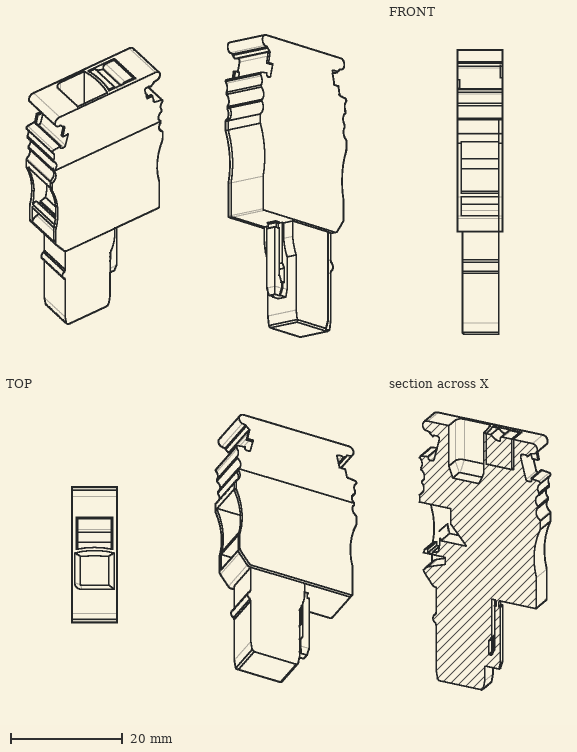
import cadquery as cq
import math


width = 8.1
depth = 24.3
total_height = 50.95
housing_height = 32.6
side_x = width / 2
end_reach = depth / 2
plug_bottom_z = housing_height - total_height

cover_inner_x = 3.4
cover_top_z = 20.4

flange_reach = 11.55
flange_nose_radius = 1.05
flange_lip_reach = 10.95
flange_lip_z = 30.6
neck_step_reach = 10.2
neck_step_z = 30.45
neck_step_run = 0.1
neck_step_drop = 0.2
neck_top_reach = 9.4
neck_top_z = 29.65
neck_bottom_reach = 10.2
neck_bottom_z = 25.75
neck_foot_run = 0.2
ledge_z = 25.6
ledge_fall = 0.2
ledge_tip_reach = 11.8
ledge_tip_z = 25.0
ledge_nose = (12.05, 25.22)
ridge_reach = 11.88
lower_ridge_reach = 11.7
grip_scallops = [
    ((11.95, 24.75), (11.66, 23.9), (ridge_reach, 23.05)),
    ((ridge_reach, 22.65), (11.2, 21.4), (lower_ridge_reach, cover_top_z)),
    ((lower_ridge_reach, 20.1), (11.33, 19.0), (12.0, 17.8)),
]
flat_top_z = 17.6
flat_bottom_z = 15.9
foot_reach = 11.35
foot_top_z = 6.3
waist_reach = 10.9
waist_z = 9.9

foot_corner_radius = 0.25
foot_bevel_drop = 2.65
foot_bevel_run = 2.0
foot_bevel_radius = 0.8

slot_bottom_z = 24.95
slot_top_z = 29.95
slot_floor_reach = 8.7
slot_floor_z = 27.45
slot_slope = 0.25
slot_overrun = 0.1
slot_end_radius = 0.4
slot_wall = 0.45
slot_wall_gap_bottom_z = 27.3
slot_wall_gap_top_z = 27.6

pocket_left_x = -3.33
pocket_overrun = 1.0
pocket_outer_reach = end_reach + pocket_overrun
upper_pocket_top_z = 16.16
upper_pocket_back_reach = 5.9
upper_pocket_slope_z = 13.15
inner_wall_top_z = 11.3
inner_wall_reach = 8.2
inner_wall_middle_reach = 8.1
inner_wall_middle_z = 9.2
inner_wall_foot_reach = 8.4
inner_wall_foot_z = 7.2
pit_back_reach = 2.8
pit_front_reach = 7.8
pit_floor_z = 9.5
groove_back_reach = 9.5
groove_back_z = 6.85
groove_floor_z = 6.55
bar_back_reach = 10.4
bar_back_z = 7.3
bar_crown_reach = 10.9
bar_crown_z = 7.2
bar_front_reach = 11.22
bar_top_z = 6.9
bar_bottom_z = foot_top_z
lower_pocket_back_reach = 7.0
lower_pocket_floor_z = 5.0
lip_crest_reach = 10.3
lip_crest_z = 3.85
lip_z = 2.94

funnel_half_width = 3.56
funnel_front_y = -6.2
funnel_back_y = 0.3
funnel_back_bulge = 0.45
funnel_corner_radius = 1.2
funnel_straight_depth = 8.0
funnel_taper_depth = 2.2
funnel_floor_half_width = 2.56
funnel_floor_front_y = -5.43
funnel_floor_back_y = -0.25
funnel_floor_bulge = 0.02
funnel_floor_corner_radius = 0.1

button_half_width = 3.0
button_back_y = 6.41
button_clearance = 0.28
button_height = 6.0
button_front_y = 0.95
button_front_bulge = 0.35
button_ridge_y = 4.6
button_ridge_radius = 0.6
button_dip = 0.95
button_hollow_y = 3.0
button_hollow_depth = 0.65
button_dip_end_y = 2.25

plug_left_x = -3.2
plug_right_x = cover_inner_x
plug_front_y = -8.85
plug_back_y = 1.02
plug_root_back_y = 2.0
plug_root_z = -2.8
plug_root_middle_y = 1.7
plug_root_middle_z = -4.4
plug_root_end_z = -6.1
plug_taper_z = -16.25
plug_taper = 0.35
plug_tip_chamfer = 0.35
plug_step = 0.1
plug_step_y = -8.07
plug_step_tip_y = -7.3
bump_z = -6.2
bump_half_height = 0.8
bump_root_half_height = 1.2
bump_root_height = 0.15
bump_height = 0.65

latch_center_x = (plug_left_x + plug_right_x) / 2
latch_half_width = 0.95
latch_back_y = 4.15
latch_front_y = 2.87
latch_top_z = -1.1
latch_taper_z = -12.1
latch_bottom_z = -13.5
latch_taper = 0.3
latch_neck_y = 3.48
latch_neck_half = 0.3
latch_neck_flare = 0.5
latch_flare_z = -0.25
web_half_width = 1.2
web_inner_y = 0.0
web_back_y = 2.4
web_step_y = 1.8
web_step_top_z = -7.5
web_step_bottom_z = -8.35
web_foot_z = -11.0
web_foot_y = 2.27
slit_taper_z = -9.85


def plate(outline, x_start, x_end):
    """Extrude a closed outline, drawn in Y and Z, from x_start to x_end."""
    return outline.extrude(x_end - x_start).translate((x_start, 0, 0))


def polygon_plate(points, x_start, x_end):
    return plate(cq.Workplane("YZ").polyline(points).close(), x_start, x_end)


def box(x_start, x_end, y_start, y_end, z_start, z_end):
    size = (x_end - x_start, y_end - y_start, z_end - z_start)
    return cq.Workplane("XY").box(*size, centered=False).translate((x_start, y_start, z_start))


def half_profile():
    """The +Y half of the housing outline, from the top down to the underside."""
    outline = (
        cq.Workplane("YZ")
        .moveTo(0, housing_height)
        .lineTo(flange_reach - flange_nose_radius, housing_height)
        .threePointArc((flange_reach, housing_height - flange_nose_radius), (flange_lip_reach, flange_lip_z))
        .lineTo(neck_step_reach, neck_step_z)
        .lineTo(neck_step_reach - neck_step_run, neck_step_z - neck_step_drop)
        .lineTo(neck_top_reach, neck_top_z)
        .lineTo(neck_bottom_reach, neck_bottom_z)
        .lineTo(neck_bottom_reach + neck_foot_run, ledge_z)
        .lineTo(ledge_tip_reach, ledge_z - ledge_fall)
        .threePointArc(ledge_nose, (end_reach, ledge_tip_z))
    )
    for top, middle, bottom in grip_scallops:
        outline = outline.lineTo(*top).threePointArc(middle, bottom)
    return (
        outline.lineTo(end_reach, flat_top_z)
        .lineTo(end_reach, flat_bottom_z)
        .threePointArc((waist_reach, waist_z), (foot_reach, foot_top_z))
        .lineTo(foot_reach, 0)
        .lineTo(0, 0)
        .close()
    )


def outer_block():
    half = plate(half_profile(), -side_x, side_x)
    block = half.union(half.mirror("XZ")).clean()
    block = block.edges(cq.selectors.NearestToPointSelector((0, foot_reach, 0))).fillet(foot_corner_radius)
    bevel = polygon_plate(
        [(-foot_reach, 0), (-foot_reach, foot_bevel_drop), (-foot_reach + foot_bevel_run, 0)], -side_x, side_x
    )
    block = block.cut(bevel)
    for y, z in [(-foot_reach, foot_bevel_drop), (-foot_reach + foot_bevel_run, 0)]:
        block = block.edges(cq.selectors.NearestToPointSelector((0, y, z))).fillet(foot_bevel_radius)
    return block


def marker_slot():
    """Leaning slot in the -Y neck, open through one wall above and the other below."""
    def floor_y(z):
        return -(slot_floor_reach + (slot_floor_z - z) * slot_slope)

    def outer_y(z):
        neck_slope = (neck_bottom_reach - neck_top_reach) / (neck_top_z - neck_bottom_z)
        return -(neck_top_reach + (neck_top_z - z) * neck_slope + slot_overrun)

    outline = cq.Workplane("YZ").polyline(
        [
            (floor_y(slot_bottom_z), slot_bottom_z),
            (floor_y(slot_top_z), slot_top_z),
            (outer_y(slot_top_z), slot_top_z),
            (outer_y(slot_bottom_z), slot_bottom_z),
        ]
    ).close()
    slot = plate(outline, -side_x, side_x).edges("|X").fillet(slot_end_radius)
    inner_x = side_x - slot_wall
    left_wall = box(-side_x, -inner_x, -end_reach, 0, slot_bottom_z, slot_wall_gap_bottom_z)
    right_wall = box(inner_x, side_x, -end_reach, 0, slot_wall_gap_top_z, slot_top_z)
    return slot.cut(left_wall).cut(right_wall)


def upper_pocket():
    outline = (
        cq.Workplane("YZ")
        .moveTo(-pocket_outer_reach, upper_pocket_top_z)
        .lineTo(-upper_pocket_back_reach, upper_pocket_top_z)
        .lineTo(-upper_pocket_back_reach, upper_pocket_slope_z)
        .lineTo(-pit_back_reach, pit_floor_z)
        .lineTo(-pit_front_reach, pit_floor_z)
        .lineTo(-inner_wall_reach, inner_wall_top_z)
        .threePointArc(
            (-inner_wall_middle_reach, inner_wall_middle_z),
            (-inner_wall_foot_reach, inner_wall_foot_z),
        )
        .lineTo(-groove_back_reach, groove_back_z)
        .lineTo(-groove_back_reach, groove_floor_z)
        .lineTo(-bar_back_reach, groove_floor_z)
        .lineTo(-bar_back_reach, bar_back_z)
        .threePointArc((-bar_crown_reach, bar_crown_z), (-bar_front_reach, bar_top_z))
        .lineTo(-pocket_outer_reach, bar_top_z)
        .close()
    )
    return plate(outline, pocket_left_x, cover_inner_x)


def lower_pocket():
    outline = (
        cq.Workplane("YZ")
        .moveTo(-pocket_outer_reach, bar_bottom_z)
        .lineTo(-lower_pocket_back_reach, bar_bottom_z)
        .lineTo(-lower_pocket_back_reach, lower_pocket_floor_z)
        .lineTo(-lip_crest_reach, lip_crest_z)
        .tangentArcPoint((-foot_reach, lip_z), relative=False)
        .lineTo(-pocket_outer_reach, lip_z)
        .close()
    )
    return plate(outline, pocket_left_x, cover_inner_x)


def funnel_section(outline, half_width, back_y, bulge, front_y, corner_radius):
    """Add a rectangle with a bowed back edge and one rounded corner to a sketch chain."""
    return (
        outline.moveTo(-half_width, back_y)
        .threePointArc((0, back_y + bulge), (half_width, back_y))
        .lineTo(half_width, front_y)
        .lineTo(corner_radius - half_width, front_y)
        .radiusArc((-half_width, front_y + corner_radius), corner_radius)
        .close()
    )


def funnel_mouth(base):
    return funnel_section(
        base,
        funnel_half_width,
        funnel_back_y,
        funnel_back_bulge,
        funnel_front_y,
        funnel_corner_radius,
    )


def wire_funnel():
    """Straight-walled hole in the top that tapers at the bottom to a nearly square floor."""
    taper_top_z = housing_height - funnel_straight_depth
    shaft_base = cq.Workplane("XY", origin=(0, 0, taper_top_z))
    shaft = funnel_mouth(shaft_base).extrude(funnel_straight_depth)
    floor = funnel_section(
        cq.Workplane("XY", origin=(0, 0, taper_top_z - funnel_taper_depth)),
        funnel_floor_half_width,
        funnel_floor_back_y,
        funnel_floor_bulge,
        funnel_floor_front_y,
        funnel_floor_corner_radius,
    )
    taper = funnel_mouth(floor.workplane(offset=funnel_taper_depth)).loft(ruled=True)
    return shaft.union(taper)


def button_well():
    """Well for the button; its front edge bows round the funnel."""
    half_width = button_half_width + button_clearance
    back_y = button_back_y + button_clearance
    return (
        cq.Workplane("XY", origin=(0, 0, housing_height - button_height))
        .moveTo(-half_width, back_y)
        .lineTo(half_width, back_y)
        .lineTo(half_width, button_front_y)
        .threePointArc((0, button_front_y + button_front_bulge), (-half_width, button_front_y))
        .close()
        .extrude(button_height)
    )


def latch_envelope(half_width):
    """Space of the latch across X, narrowing at the foot."""
    tip_half_width = half_width - latch_taper
    return (
        cq.Workplane("XZ", origin=(latch_center_x, latch_back_y, 0))
        .polyline(
            [
                (-half_width, 0),
                (half_width, 0),
                (half_width, latch_taper_z),
                (tip_half_width, latch_bottom_z),
                (-tip_half_width, latch_bottom_z),
                (-half_width, latch_taper_z),
            ]
        )
        .close()
        .extrude(latch_back_y)
    )


def plug_block():
    outline = (
        cq.Workplane("YZ")
        .moveTo(plug_front_y, 0)
        .lineTo(plug_front_y, plug_taper_z)
        .lineTo(plug_front_y + plug_taper, plug_bottom_z)
        .lineTo(plug_back_y - plug_taper, plug_bottom_z)
        .lineTo(plug_back_y, plug_taper_z)
        .lineTo(plug_back_y, plug_root_end_z)
        .threePointArc((plug_root_middle_y, plug_root_middle_z), (plug_root_back_y, plug_root_z))
        .lineTo(plug_root_back_y, 0)
        .close()
    )
    plug = plate(outline, plug_left_x, plug_right_x)
    plug = plug.faces("<Z").edges("<X or <Y or >Y").chamfer(plug_tip_chamfer)
    step = polygon_plate(
        [
            (plug_front_y, 0),
            (plug_step_y, 0),
            (plug_step_y, plug_taper_z),
            (plug_step_tip_y, plug_bottom_z),
            (plug_front_y, plug_bottom_z),
        ],
        plug_left_x,
        plug_left_x + plug_step,
    )
    return plug.cut(step)


def snap_bump():
    """Rounded snap rib across the -Y face of the plug."""
    root_y = plug_front_y - bump_root_height
    outline = (
        cq.Workplane("YZ")
        .moveTo(plug_front_y, bump_z + bump_root_half_height)
        .lineTo(root_y, bump_z + bump_half_height)
        .threePointArc((plug_front_y - bump_height, bump_z), (root_y, bump_z - bump_half_height))
        .lineTo(plug_front_y, bump_z - bump_root_half_height)
        .close()
    )
    return plate(outline, plug_left_x + plug_step, plug_right_x)


def latch_web():
    """Inner core of the plug that carries the foot of the latch."""
    web = polygon_plate(
        [
            (web_inner_y, 0),
            (web_back_y, 0),
            (web_back_y, web_step_top_z),
            (web_step_y, web_step_bottom_z),
            (web_step_y, web_foot_z),
            (web_foot_y, web_foot_z),
            (web_foot_y, latch_taper_z),
            (web_foot_y + latch_taper, latch_bottom_z),
            (web_inner_y, latch_bottom_z),
        ],
        latch_center_x - web_half_width,
        latch_center_x + web_half_width,
    )
    return web.intersect(latch_envelope(web_half_width))


def latch_arm():
    """Upright arm behind the plug, hung from the housing by a waisted neck."""
    profile = [
        (latch_back_y, latch_top_z),
        (latch_neck_y + latch_neck_half, latch_top_z),
        (latch_neck_y + latch_neck_half, latch_flare_z),
        (latch_neck_y + latch_neck_flare, 0),
        (latch_neck_y - latch_neck_flare, 0),
        (latch_neck_y - latch_neck_half, latch_flare_z),
        (latch_neck_y - latch_neck_half, latch_top_z),
        (latch_front_y, latch_top_z),
        (latch_front_y, slit_taper_z),
        (web_foot_y, web_foot_z),
        (web_foot_y, latch_bottom_z),
        (latch_back_y - latch_taper, latch_bottom_z),
        (latch_back_y, latch_taper_z),
    ]
    arm = polygon_plate(profile, latch_center_x - latch_half_width, latch_center_x + latch_half_width)
    return arm.intersect(latch_envelope(latch_half_width))


def cover_space():
    return box(cover_inner_x, side_x, -end_reach, end_reach, 0, cover_top_z)


def make_housing(block):
    slot = marker_slot()
    body = block.cut(cover_space())
    body = body.cut(slot).cut(slot.rotate((0, 0, 0), (0, 0, 1), 180))
    body = body.cut(upper_pocket()).cut(lower_pocket())
    body = body.cut(wire_funnel()).cut(button_well())
    return body.union(plug_block()).union(snap_bump()).union(latch_web()).union(latch_arm())


def make_cover(block):
    return block.intersect(cover_space())


def make_button():
    """Button with a rounded ridge and a hollow that rises again towards the funnel."""
    dip_y = button_ridge_y - button_ridge_radius
    dip_z = housing_height - button_dip
    ridge_run = button_ridge_radius * math.sqrt(0.5)
    hollow = (
        cq.Workplane("YZ")
        .moveTo(button_ridge_y, housing_height)
        .threePointArc(
            (button_ridge_y - ridge_run, housing_height - button_ridge_radius + ridge_run),
            (dip_y, housing_height - button_ridge_radius),
        )
        .lineTo(dip_y, dip_z)
        .threePointArc(
            (button_hollow_y, housing_height - button_hollow_depth),
            (button_dip_end_y, housing_height),
        )
        .close()
    )
    button_space = box(
        -button_half_width,
        button_half_width,
        button_front_y,
        button_back_y,
        housing_height - button_height,
        housing_height,
    )
    button_block = button_well().intersect(button_space)
    return button_block.cut(plate(hollow, -button_half_width, button_half_width))


connector_block = outer_block()
housing = make_housing(connector_block)
cover = make_cover(connector_block)
button = make_button()

result = cq.Compound.makeCompound([housing.val(), cover.val(), button.val()])